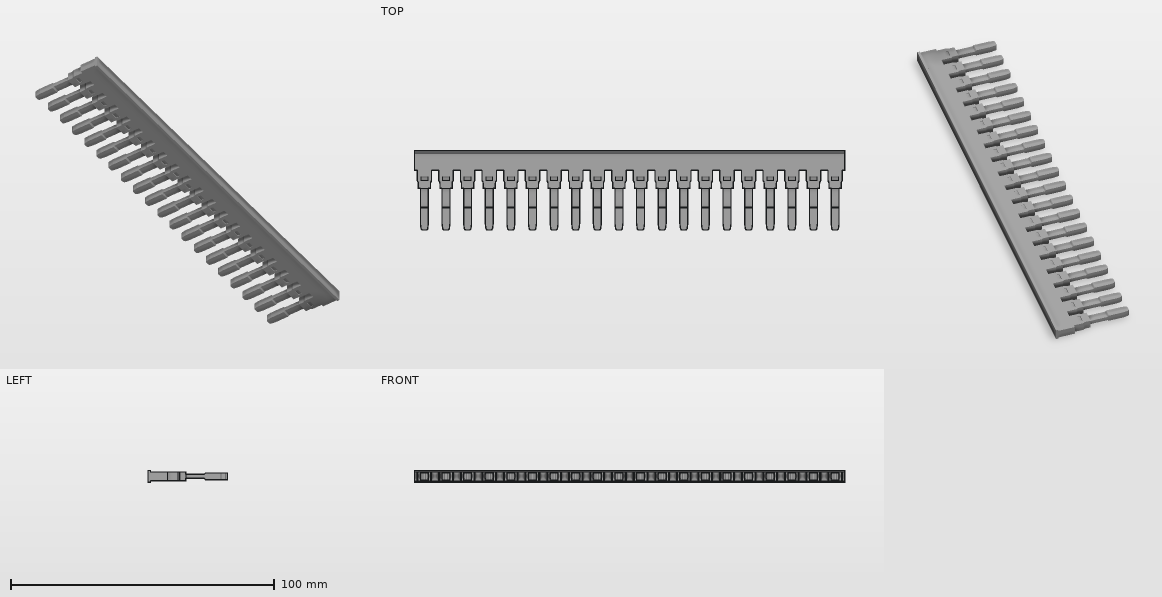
import cadquery as cq

length = 163.4
depth = 30.2
lip_height = 4.5

rail_depth = 7.5
rail_height = 3.5
lip_depth = 1.0

prong_count = 20
end_offset = 3.8
pitch = (length - 2 * end_offset) / (prong_count - 1)

root_overlap = 0.8

shoulder_width = 5.5
shoulder_knee_width = 4.9
shoulder_neck_width = 4.7
shoulder_taper_start = 11.5
shoulder_knee = 12.0
shoulder_taper_end = 12.5
shoulder_end = 14.4

pocket_width = 2.6
pocket_start = 10.0
pocket_end = 11.5
pocket_depth = 0.36

blade_width = 3.1
blade_tip_width = 2.5
blade_thin = 1.6
blade_thick = 2.6
blade_step_start = 21.4
blade_step_end = 21.9
tip_taper_start = 27.8
tip_corner_radius = 0.8

side_plane = cq.Plane(origin=(0, 0, 0), xDir=(0, 0, 1), normal=(-1, 0, 0))


def mirrored_outline(plane, half_profile):
    """Closed outline symmetric about its vertical axis, from (distance from back, half size) pairs."""
    right_side = [(half, -distance) for distance, half in half_profile]
    left_side = [(-x, y) for x, y in reversed(right_side)]
    return cq.Workplane(plane).polyline(right_side + left_side).close()


def slab(width, start, end, height):
    """Box centred on X and Z that spans two distances from the back edge."""
    return cq.Workplane("XY").box(width, end - start, height).translate((0, -(start + end) / 2, 0))


def make_shoulder():
    """Stepped shoulder with a ramped pocket in its top and bottom faces."""
    shoulder = mirrored_outline("XY", [
        (rail_depth - root_overlap, shoulder_width / 2),
        (shoulder_taper_start, shoulder_width / 2),
        (shoulder_knee, shoulder_knee_width / 2),
        (shoulder_taper_end, shoulder_neck_width / 2),
        (shoulder_end, shoulder_neck_width / 2),
    ]).extrude(rail_height / 2, both=True)

    face = rail_height / 2
    for side in (1, -1):
        pocket = cq.Workplane(side_plane).polyline([
            (side * face, -pocket_start),
            (side * face, -pocket_end),
            (side * (face - pocket_depth), -pocket_end),
        ]).close().extrude(pocket_width / 2, both=True)
        shoulder = shoulder.cut(pocket)
    return shoulder


def make_blade():
    """Blade that is thin at its root, thicker at the contact and rounded at the tip."""
    blade_plan = mirrored_outline("XY", [
        (shoulder_end - root_overlap, blade_width / 2),
        (tip_taper_start, blade_width / 2),
        (depth, blade_tip_width / 2),
    ]).extrude(blade_thick / 2, both=True)
    blade_plan = blade_plan.faces("<Y").edges("|Z").fillet(tip_corner_radius)
    blade_side = mirrored_outline(side_plane, [
        (shoulder_end - root_overlap, blade_thin / 2),
        (blade_step_start, blade_thin / 2),
        (blade_step_end, blade_thick / 2),
        (depth, blade_thick / 2),
    ]).extrude(blade_width / 2, both=True)
    return blade_plan.intersect(blade_side)


result = slab(length, 0, rail_depth, rail_height).union(slab(length, 0, lip_depth, lip_height))
prong = make_shoulder().union(make_blade())
for index in range(prong_count):
    centre_x = -length / 2 + end_offset + index * pitch
    result = result.union(prong.translate((centre_x, 0, 0)))